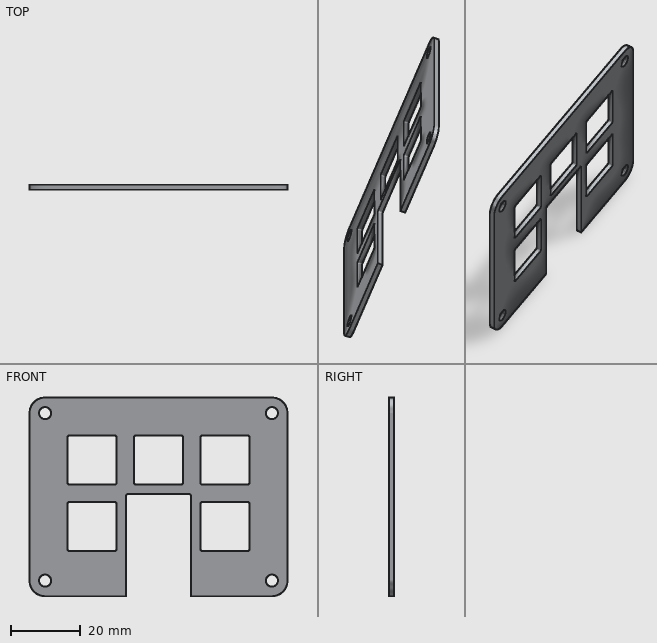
import cadquery as cq

plate_width = 74.0
plate_height = 57.0
plate_thickness = 1.5
corner_radius = 4.5

hole_diameter = 3.4
hole_spacing_x = plate_width - 2 * corner_radius
hole_spacing_z = plate_height - 2 * corner_radius

window_size = 14.0
window_radius = 0.5
window_pitch = 19.05
lower_row_z = -8.5
upper_row_z = lower_row_z + window_pitch
window_centers = [
    (-window_pitch, upper_row_z),
    (0, upper_row_z),
    (window_pitch, upper_row_z),
    (-window_pitch, lower_row_z),
    (window_pitch, lower_row_z),
]

notch_width = 18.5
notch_depth = 29.25
notch_radius = 0.5


def centered_block(width, height):
    """Block of plate thickness, centred on the origin in the XZ plane."""
    return cq.Workplane("XY").box(width, plate_thickness, height)


def make_plate():
    """Rectangular plate with rounded corners and four mounting holes."""
    plate = centered_block(plate_width, plate_height).edges("|Y").fillet(corner_radius)
    return (
        plate.faces("<Y")
        .workplane(centerOption="CenterOfBoundBox")
        .rect(hole_spacing_x, hole_spacing_z, forConstruction=True)
        .vertices()
        .hole(hole_diameter)
    )


def make_window(x, z):
    """Cutter for one switch window with lightly rounded corners."""
    window = centered_block(window_size, window_size).edges("|Y").fillet(window_radius)
    return window.translate((x, 0, z))


def make_notch():
    """Cutter for the bottom notch, rounded only at its two inner corners."""
    notch = centered_block(notch_width, notch_depth)
    notch = notch.edges("|Y and >Z").fillet(notch_radius)
    return notch.translate((0, 0, (notch_depth - plate_height) / 2))


result = make_plate().cut(make_notch())
for center_x, center_z in window_centers:
    result = result.cut(make_window(center_x, center_z))